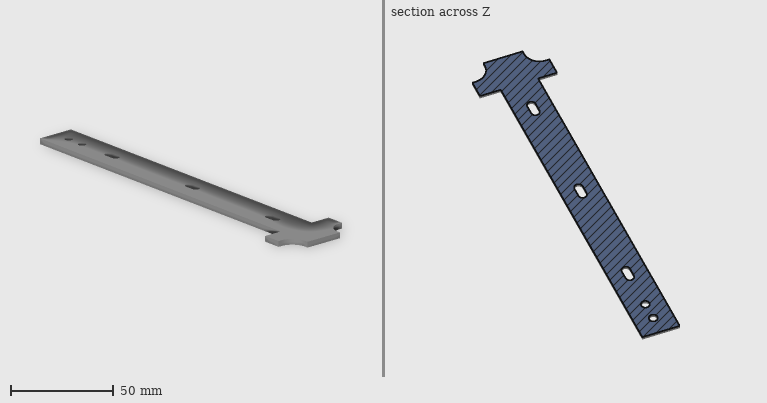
import cadquery as cq

length = 200.0
thickness = 3.0
strip_width = 20.0

head_width = 41.0
head_length = 20.0
notch_size = 10.0
notch_radius = 8.0

strip_centre_y = (strip_width - (head_width - 2 * notch_size)) / 2

hole_diameter = 4.2
hole_positions = [10.0, 20.0]
slot_length = 9.2
slot_width = 4.2
first_slot = 42.5
slot_pitch = 60.0
slot_count = 3


def make_plate():
    """T-shaped plate: a long strip with a wider head."""
    strip = (
        cq.Workplane("XY", origin=(0, strip_centre_y, 0))
        .box(length, strip_width, thickness, centered=(False, True, False))
    )
    head = (
        cq.Workplane("XY", origin=(length - head_length, 0, 0))
        .box(head_length, head_width, thickness, centered=(False, True, False))
    )
    return strip.union(head)


def make_notch(side):
    """Cutter for one head corner, rounded inside; side is +1 or -1 along Y."""
    centre = (length - notch_size / 2, side * (head_width - notch_size) / 2, 0)
    inner_edge = "<X and >Y" if side < 0 else "<X and <Y"
    return (
        cq.Workplane("XY", origin=centre)
        .box(notch_size, notch_size, thickness, centered=(True, True, False))
        .edges("|Z")
        .edges(inner_edge)
        .fillet(notch_radius)
    )


def make_holes():
    """Cutters for the pair of round holes."""
    centres = [(x, strip_centre_y) for x in hole_positions]
    return cq.Workplane("XY").pushPoints(centres).circle(hole_diameter / 2).extrude(thickness)


def make_slots():
    """Cutters for the evenly spaced slots."""
    centres = [(first_slot + i * slot_pitch, strip_centre_y) for i in range(slot_count)]
    return cq.Workplane("XY").pushPoints(centres).slot2D(slot_length, slot_width).extrude(thickness)


result = make_plate()
for side in (1, -1):
    result = result.cut(make_notch(side))
result = result.cut(make_holes()).cut(make_slots())